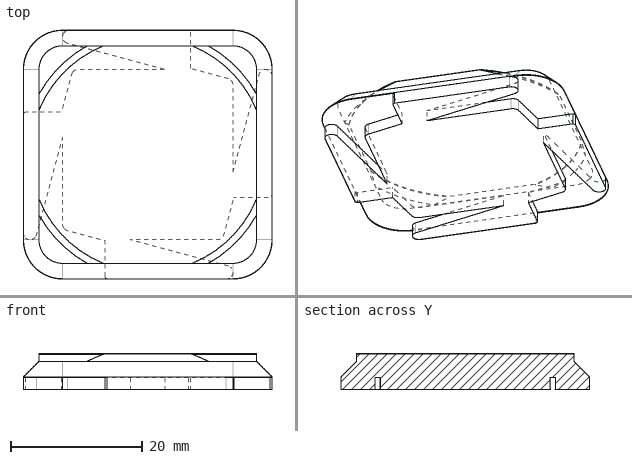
import cadquery as cq
import math

side = 38.0
height = 5.5
corner_radius = 6.0
half = side / 2

base_height = 1.82
rim_height = 0.1
bevel = 2.4
bevel_bottom = base_height + rim_height
bevel_top = bevel_bottom + bevel
crown_height = height - bevel_top

crown_land = 0.1
cone_height = crown_height - crown_land
crown_bottom_radius = 19.0
crown_top_radius = 17.95
crown_half_width = half - bevel

side_wall = 6.55
wall_depth = 13.15
block_edge = 13.0
finger_tip = 13.0
tip_radius = 1.03
slant = math.radians(15)
edge_chamfer = 0.3
outside = side


def rounded_square(width, radius, depth):
    return cq.Workplane("XY").rect(width, width).extrude(depth).edges("|Z").fillet(radius)


def corner_pocket():
    """Pocket at the (-X, -Y) corner, with a narrowing slot between the finger and the inner block."""
    finger_x = -half + tip_radius
    finger_y = -finger_tip + tip_radius
    flank_x = finger_x + tip_radius * math.cos(slant)
    flank_y = finger_y - tip_radius * math.sin(slant)
    slot_end_y = flank_y + (-block_edge - flank_x) / math.tan(slant)

    block_corner_y = -wall_depth + (block_edge - side_wall) * math.tan(slant)

    outline = (
        cq.Workplane("XY")
        .moveTo(-half, finger_y)
        .threePointArc((finger_x, -finger_tip), (flank_x, flank_y))
        .lineTo(-block_edge, slot_end_y)
        .lineTo(-block_edge, block_corner_y)
        .lineTo(-side_wall, -wall_depth)
        .lineTo(-side_wall, -half + edge_chamfer)
        .lineTo(-side_wall + edge_chamfer, -half)
        .lineTo(-side_wall + edge_chamfer, -outside)
        .lineTo(-outside, -outside)
        .lineTo(-outside, finger_y)
        .close()
        .extrude(base_height)
    )
    block_corner = cq.selectors.NearestToPointSelector((-block_edge, block_corner_y, base_height / 2))
    return outline.edges("|Z").edges(block_corner).fillet(tip_radius)


base = cq.Workplane("XY").box(side, side, base_height, centered=(True, True, False))
pocket = corner_pocket()
for quarter in range(4):
    base = base.cut(pocket.rotate((0, 0, 0), (0, 0, 1), 90 * quarter))

plate = rounded_square(side, corner_radius, rim_height + bevel).faces(">Z").chamfer(bevel)
plate = plate.translate((0, 0, base_height))

taper = math.degrees(math.atan((crown_bottom_radius - crown_top_radius) / cone_height))
crown = cq.Workplane("XY").circle(crown_bottom_radius).extrude(cone_height, taper=taper)
crown = crown.faces(">Z").workplane().circle(crown_top_radius).extrude(crown_land)
crown = crown.intersect(rounded_square(2 * crown_half_width, corner_radius - bevel, crown_height))
crown = crown.translate((0, 0, bevel_top))

result = base.union(plate).union(crown)